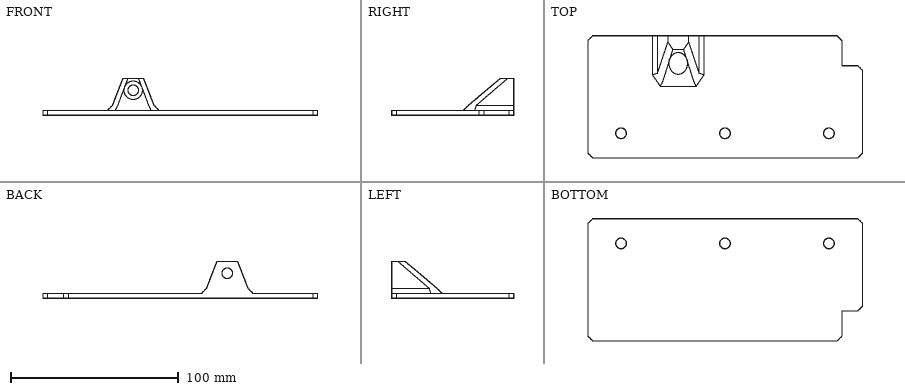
import cadquery as cq

plate_length = 164.0
plate_width = 73.0
plate_thickness = 3.0
corner_chamfer = plate_thickness
notch_length = 12.3
notch_width = 17.9

hole_diameter = 6.2
first_hole_x = 19.8
hole_row_y = 14.8
hole_spacing = 62.0
hole_count = 3

total_height = 22.0
bracket_x = 54.0
top_half_width = 6.2
waist_half_width = 12.5
top_depth = 8.2
waist_depth = 27.2
foot_height = 3.0
foot_flare = foot_height
waist_z = plate_thickness + foot_height
foot_half_width = waist_half_width + foot_flare
foot_depth = waist_depth + foot_flare

bevel_top_x = 3.03
bevel_top_y = 4.5
bevel_lean = 5.2
cutter_size = 98.4

bore_z = 15.0
bore_diameter = 6.2
counterbore_diameter = 11.0
bore_wall = 5.0


def make_plate():
    notch_x = plate_length - notch_length
    notch_y = plate_width - notch_width
    c = corner_chamfer
    outline = [
        (c, 0),
        (plate_length - c, 0),
        (plate_length, c),
        (plate_length, notch_y - c),
        (plate_length - c, notch_y),
        (notch_x, notch_y),
        (notch_x, plate_width - c),
        (notch_x - c, plate_width),
        (c, plate_width),
        (0, plate_width - c),
        (0, c),
    ]
    plate = cq.Workplane("XY").polyline(outline).close().extrude(plate_thickness)
    hole_centers = [(first_hole_x + i * hole_spacing, hole_row_y) for i in range(hole_count)]
    holes = cq.Workplane("XY").pushPoints(hole_centers).circle(hole_diameter / 2).extrude(plate_thickness)
    return plate.cut(holes)


def corner_cutter(side):
    """Block outside the bevel plane; side is 1 for the +X corner, -1 for the -X corner."""
    plane = cq.Plane(
        origin=(bracket_x + side * top_half_width, plate_width - top_depth + bevel_top_y, total_height),
        xDir=(side * bevel_top_x, bevel_top_y, 0),
        normal=(side * bevel_top_y, -bevel_top_x, bevel_lean),
    )
    return cq.Workplane(plane).rect(cutter_size, cutter_size).extrude(cutter_size)


def bore(diameter, start_y):
    """Cylinder running from start_y toward the front, past the bracket."""
    plane = cq.Plane(origin=(bracket_x, start_y, bore_z), xDir=(1, 0, 0), normal=(0, -1, 0))
    return cq.Workplane(plane).circle(diameter / 2).extrude(foot_depth)


def make_bracket():
    right_side = [
        (foot_half_width, plate_thickness),
        (waist_half_width, waist_z),
        (top_half_width, total_height),
    ]
    left_side = [(-x, z) for x, z in reversed(right_side)]
    back_plane = cq.Plane(origin=(bracket_x, plate_width, 0), xDir=(1, 0, 0), normal=(0, -1, 0))
    front_form = cq.Workplane(back_plane).polyline(right_side + left_side).close().extrude(foot_depth)

    side_outline = [
        (plate_width, plate_thickness),
        (plate_width - foot_depth, plate_thickness),
        (plate_width - waist_depth, waist_z),
        (plate_width - top_depth, total_height),
        (plate_width, total_height),
    ]
    side_form = (
        cq.Workplane("YZ", origin=(bracket_x, 0, 0))
        .polyline(side_outline)
        .close()
        .extrude(foot_half_width, both=True)
    )

    bracket = front_form.intersect(side_form)
    for side in (1, -1):
        bracket = bracket.cut(corner_cutter(side))
    bracket = bracket.cut(bore(bore_diameter, plate_width))
    return bracket.cut(bore(counterbore_diameter, plate_width - bore_wall))


result = make_plate().union(make_bracket())